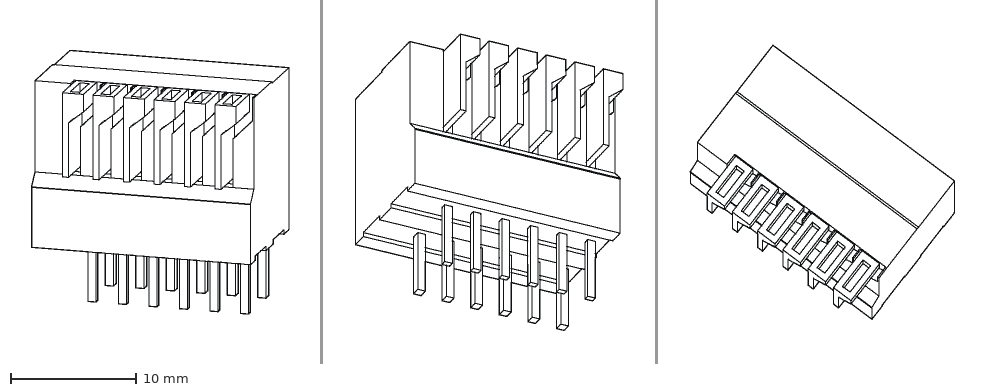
import cadquery as cq


width = 18.25
height = 13.6
lower_depth = 10.9
upper_depth = 9.97
ledge_top = height - 7.57
ledge_lip = 0.05
ledge_bottom = ledge_top - (lower_depth + ledge_lip - upper_depth)
rear_top_drop = 0.15
rear_top_depth = 4.75
rear_top_ramp = 0.2

channel_height = 0.37
channel_length = 2.97
rear_channel_start = 1.45
front_channel_start = 6.55

contact_count = 6
contact_span = 12.7
pitch = contact_span / (contact_count - 1)
first_recess_x = 2.97

lever_height = 6.98
lever_front = 12.8
lever_back = 9.01
leg_width = 0.52
head_width = 1.75
head_height = 1.45
taper_end = 2.45

clearance = 0.15
recess_floor = 8.94
recess_leg_width = leg_width + 2 * clearance
recess_head_width = 2.44
recess_head_height = 1.92
recess_taper_end = 3.55

web_height = lever_height - taper_end

slot_width = 0.75
slot_length = 2.7
slot_end_wall = 0.52
slot_depth = head_height

pin_length = 4.88
pin_width = 0.68
first_pin_x = 3.92
rear_pin_start = 2.55
rear_pin_thickness = 0.81
front_pin_start = 7.78
front_pin_thickness = 0.52


def box(x, y, z, size_x, size_y, size_z):
    """Box with its left, front, bottom corner at (x, y, z)."""
    return cq.Workplane("XY").box(size_x, size_y, size_z, centered=False).translate((x, y, z))


def make_housing():
    """Side profile, run across the full width, with the two channels cut out."""
    profile = [
        (0, 0),
        (0, height - rear_top_drop),
        (-rear_top_depth, height - rear_top_drop),
        (-rear_top_depth - rear_top_ramp, height),
        (-upper_depth, height),
        (-upper_depth, ledge_top),
        (-lower_depth - ledge_lip, ledge_bottom),
        (-lower_depth, ledge_bottom - ledge_lip),
        (-lower_depth, 0),
    ]
    housing = cq.Workplane("YZ").polyline(profile).close().extrude(width)
    for start in (rear_channel_start, front_channel_start):
        housing = housing.cut(box(0, -start - channel_length, 0, width, channel_length, channel_height))
    return housing


def hook_prism(left, bottom, leg, head, head_length, taper_length, back, front):
    """Hook outline, wide at the top and tapering to a leg, run from back to front."""
    outline = [
        (left, height),
        (left, bottom),
        (left + leg, bottom),
        (left + leg, height - taper_length),
        (left + head, height - head_length),
        (left + head, height),
    ]
    return cq.Workplane("XZ", origin=(0, -back, 0)).polyline(outline).close().extrude(front - back)


def make_recess(left):
    return hook_prism(
        left, ledge_top, recess_leg_width, recess_head_width,
        recess_head_height, recess_taper_end, recess_floor, upper_depth,
    )


def make_lever(left):
    """Lever with its slot and the web behind its leg."""
    bottom = height - lever_height
    lever = hook_prism(
        left, bottom, leg_width, head_width, head_height, taper_end, lever_back, lever_front,
    )
    slot = box(
        left + leg_width, -lever_front + slot_end_wall, height - slot_depth,
        slot_width, slot_length, slot_depth,
    )
    web = box(left, -lever_back, bottom, leg_width, lever_back - recess_floor, web_height)
    return lever.cut(slot).union(web)


def make_pin(left, start, thickness):
    return box(left, -start - thickness, -pin_length, pin_width, thickness, pin_length + channel_height)


result = make_housing()
for index in range(contact_count):
    offset = index * pitch
    recess_x = first_recess_x + offset
    pin_x = first_pin_x + offset
    result = result.cut(make_recess(recess_x))
    result = result.union(make_lever(recess_x + clearance))
    result = result.union(make_pin(pin_x, rear_pin_start, rear_pin_thickness))
    result = result.union(make_pin(pin_x, front_pin_start, front_pin_thickness))